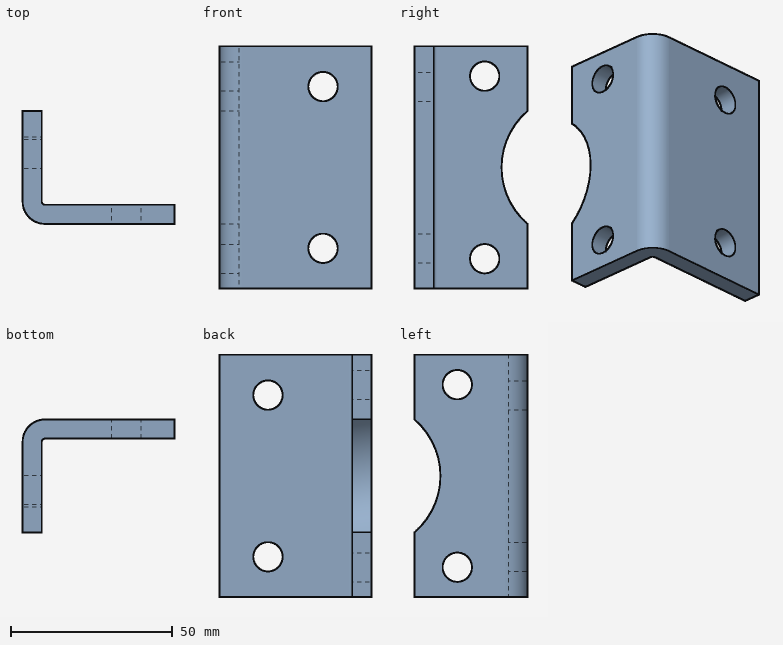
import cadquery as cq

width = 47.0
depth = 35.0
height = 75.0
thickness = 6.0
inner_bend_radius = 1.0
outer_bend_radius = inner_bend_radius + thickness

hole_diameter = 9.0
front_hole_x = 32.0
front_hole_spacing = 50.0
side_hole_y = 21.75
side_hole_spacing = 56.5

notch_radius = 23.0
notch_depth = 8.0

mid_height = height / 2


def bent_plate():
    """L-shaped plate with concentric bend radii, outer corner on the Z axis."""
    return (
        cq.Workplane("XY")
        .polyline([
            (0, 0),
            (width, 0),
            (width, thickness),
            (thickness, thickness),
            (thickness, depth),
            (0, depth),
        ])
        .close()
        .extrude(height)
        .edges(cq.selectors.NearestToPointSelector((0, 0, mid_height)))
        .fillet(outer_bend_radius)
        .edges(cq.selectors.NearestToPointSelector((thickness, thickness, mid_height)))
        .fillet(inner_bend_radius)
    )


def front_holes():
    """Pair of cylinders along Y through the front flange."""
    return (
        cq.Workplane("XZ", origin=(front_hole_x, 0, mid_height))
        .rarray(0.75, front_hole_spacing, 1, 2)
        .circle(hole_diameter / 2)
        .extrude(-thickness)
    )


def side_holes():
    """Pair of cylinders along X through the side flange."""
    return (
        cq.Workplane("YZ", origin=(0, side_hole_y, mid_height))
        .rarray(0.75, side_hole_spacing, 1, 2)
        .circle(hole_diameter / 2)
        .extrude(thickness)
    )


def edge_notch():
    """Cylinder along X that bites into the free edge of the side flange."""
    notch_center_y = depth - notch_depth + notch_radius
    return (
        cq.Workplane("YZ", origin=(0, notch_center_y, mid_height))
        .circle(notch_radius)
        .extrude(thickness)
    )


result = bent_plate().cut(front_holes()).cut(side_holes()).cut(edge_notch())